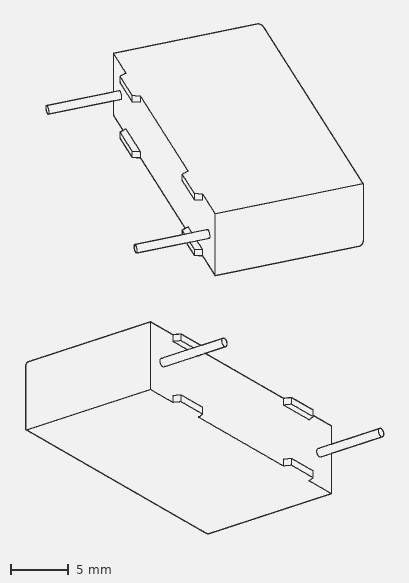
import cadquery as cq

HOUSING_WIDTH = 26.0
HOUSING_DEPTH = 13.8
HOUSING_HEIGHT = 6.5
BACK_EDGE_RADIUS = 0.6

FOOT_SPACING = 15.85
FOOT_BASE_WIDTH = 3.72
FOOT_TIP_WIDTH = 3.12
FOOT_PROJECTION = 0.65
FOOT_THICKNESS = 0.65

LEAD_SPACING = 22.5
LEAD_DIAMETER = 0.78
OVERALL_DEPTH = 20.5
LEAD_LENGTH = OVERALL_DEPTH - HOUSING_DEPTH


def make_foot(center_x, bottom_z):
    """Trapezoidal foot that narrows from the front face (Y = 0) to its tip."""
    return (
        cq.Workplane("XY", origin=(center_x, 0, bottom_z))
        .moveTo(-FOOT_BASE_WIDTH / 2, 0)
        .lineTo(-FOOT_TIP_WIDTH / 2, -FOOT_PROJECTION)
        .lineTo(FOOT_TIP_WIDTH / 2, -FOOT_PROJECTION)
        .lineTo(FOOT_BASE_WIDTH / 2, 0)
        .close()
        .extrude(FOOT_THICKNESS)
    )


def make_housing():
    """Box with its front face at Y = 0, centred in X and Z, with four feet."""
    housing = (
        cq.Workplane("XY")
        .box(HOUSING_WIDTH, HOUSING_DEPTH, HOUSING_HEIGHT, centered=(True, False, True))
        .faces(">Y")
        .edges()
        .fillet(BACK_EDGE_RADIUS)
    )
    bottom_foot_z = -HOUSING_HEIGHT / 2
    top_foot_z = HOUSING_HEIGHT / 2 - FOOT_THICKNESS
    for side in (-1, 1):
        for bottom_z in (bottom_foot_z, top_foot_z):
            housing = housing.union(make_foot(side * FOOT_SPACING / 2, bottom_z))
    return housing


def make_lead(center_x):
    """Straight wire running from the front face toward -Y."""
    return (
        cq.Workplane("XZ", origin=(center_x, 0, 0))
        .circle(LEAD_DIAMETER / 2)
        .extrude(LEAD_LENGTH)
    )


housing = make_housing()
leads = [make_lead(side * LEAD_SPACING / 2) for side in (-1, 1)]

result = cq.Compound.makeCompound([housing.val(), *[lead.val() for lead in leads]])